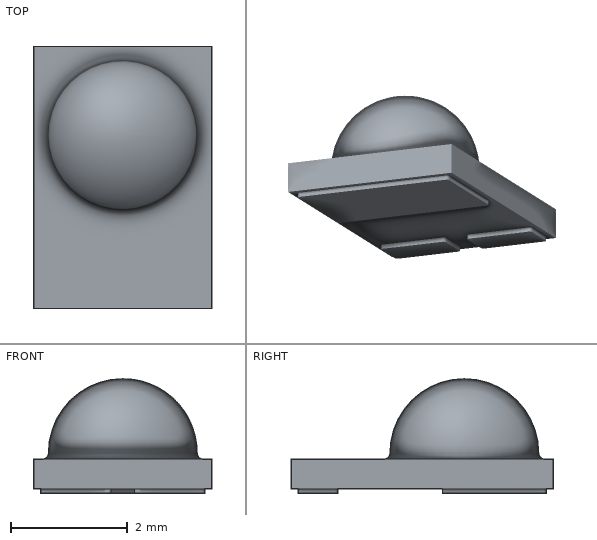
import cadquery as cq
import math

board_width = 3.05
board_length = 4.49
board_thickness = 0.51

lens_radius = 1.275
lens_foot_fillet = 0.10
lens_center_y = 0.72

pad_thickness = 0.075
pad_corner_radius = 0.05
pad_edge_margin = 0.12
large_pad_length = 1.78
small_pad_length = 0.68
small_pad_gap = 0.40

pad_field_width = board_width - 2 * pad_edge_margin
pad_field_half_length = board_length / 2 - pad_edge_margin
small_pad_width = (pad_field_width - small_pad_gap) / 2


def make_board():
    return cq.Workplane("XY").box(
        board_width, board_length, board_thickness, centered=(True, True, False)
    )


def make_lens():
    """Revolve half of the lens profile: flat base, foot fillet and quarter circle."""
    foot_radius = lens_radius + lens_foot_fillet
    equator_z = board_thickness + lens_foot_fillet
    diagonal = math.sqrt(0.5)
    fillet_mid = (foot_radius - lens_foot_fillet * diagonal, equator_z - lens_foot_fillet * diagonal)
    dome_mid = (lens_radius * diagonal, equator_z + lens_radius * diagonal)
    profile = (
        cq.Workplane("XZ")
        .moveTo(0, board_thickness)
        .lineTo(foot_radius, board_thickness)
        .threePointArc(fillet_mid, (lens_radius, equator_z))
        .threePointArc(dome_mid, (0, equator_z + lens_radius))
        .close()
    )
    return profile.revolve(360, (0, 0, 0), (0, 1, 0)).translate((0, lens_center_y, 0))


def make_pad(center_x, center_y, width, length):
    return (
        cq.Workplane("XY")
        .center(center_x, center_y)
        .rect(width, length)
        .extrude(-pad_thickness)
        .edges("|Z")
        .fillet(pad_corner_radius)
    )


result = make_board().union(make_lens())

large_pad_y = pad_field_half_length - large_pad_length / 2
result = result.union(make_pad(0, large_pad_y, pad_field_width, large_pad_length))

small_pad_x = (small_pad_gap + small_pad_width) / 2
small_pad_y = small_pad_length / 2 - pad_field_half_length
for side in (-1, 1):
    result = result.union(make_pad(side * small_pad_x, small_pad_y, small_pad_width, small_pad_length))